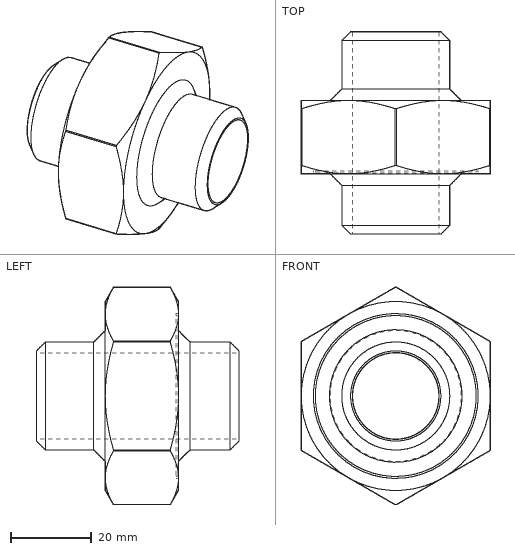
import cadquery as cq
import math

total_length = 50.4
bore_diameter = 21.5
pipe_diameter = 26.9
pipe_end_chamfer = 2.2

across_flats = 47.0
across_corners = 54.1
nut_length = 18.25
nut_front = 15.05
nut_back = nut_front + nut_length
corner_chamfer_angle = 30.0

shoulder_diameter = 33.0
back_shoulder_length = 2.85

face_recess = 0.15
groove_diameter = 41.0
groove_floor_width = 0.5
body_edge_radius = 0.5

bore_radius = bore_diameter / 2
pipe_radius = pipe_diameter / 2
shoulder_radius = shoulder_diameter / 2
shoulder_height = shoulder_radius - pipe_radius


def revolve_about_y(outline):
    """Revolve a closed (radius, Y) outline a full turn about the Y axis."""
    return outline.close().revolve(360, (0, 0, 0), (0, 1, 0))


def make_nut():
    """Hexagon with corners on Z, turned to a cone at both ends."""
    hexagon_diameter = across_flats / math.cos(math.pi / 6)
    hexagon = (
        cq.Workplane("XZ", origin=(0, nut_front, 0))
        .polygon(6, hexagon_diameter)
        .extrude(-nut_length)
        .rotate((0, 0, 0), (0, 1, 0), 30)
    )
    face_radius = across_flats / 2
    corner_radius = across_corners / 2
    corner_drop = (corner_radius - face_radius) * math.tan(math.radians(corner_chamfer_angle))
    turned_envelope = revolve_about_y(
        cq.Workplane("XY")
        .moveTo(0, nut_front)
        .lineTo(face_radius, nut_front)
        .lineTo(corner_radius, nut_front + corner_drop)
        .lineTo(corner_radius, nut_back - corner_drop)
        .lineTo(face_radius, nut_back)
        .lineTo(0, nut_back)
    )
    return hexagon.intersect(turned_envelope)


def make_front_recess():
    """Material in front of the inner body: shallow recess with a flat-bottomed groove at its rim."""
    groove_depth = face_recess + body_edge_radius
    groove_radius = groove_diameter / 2
    groove_inner_radius = groove_radius - groove_floor_width
    face_edge_radius = groove_inner_radius - body_edge_radius
    arc_offset = body_edge_radius * math.sqrt(0.5)
    body_face = nut_front + face_recess
    arc_middle = (face_edge_radius + arc_offset, nut_front + groove_depth - arc_offset)
    return revolve_about_y(
        cq.Workplane("XY")
        .moveTo(0, nut_front)
        .lineTo(groove_radius, nut_front)
        .lineTo(groove_radius, nut_front + groove_depth)
        .lineTo(groove_inner_radius, nut_front + groove_depth)
        .threePointArc(arc_middle, (face_edge_radius, body_face))
        .lineTo(0, body_face)
    )


def make_pipe():
    """Solid pipe with chamfered ends and 45 degree shoulders on both sides of the nut."""
    front_shoulder_base = nut_front + face_recess
    back_shoulder_top = nut_back + back_shoulder_length
    back_shoulder_base = back_shoulder_top - shoulder_height
    end_radius = pipe_radius - pipe_end_chamfer
    return revolve_about_y(
        cq.Workplane("XY")
        .lineTo(end_radius, 0)
        .lineTo(pipe_radius, pipe_end_chamfer)
        .lineTo(pipe_radius, front_shoulder_base - shoulder_height)
        .lineTo(shoulder_radius, front_shoulder_base)
        .lineTo(shoulder_radius, back_shoulder_base)
        .lineTo(pipe_radius, back_shoulder_top)
        .lineTo(pipe_radius, total_length - pipe_end_chamfer)
        .lineTo(end_radius, total_length)
        .lineTo(0, total_length)
    )


bore = cq.Workplane("XZ").circle(bore_radius).extrude(-total_length)

result = make_nut().cut(make_front_recess()).union(make_pipe()).cut(bore)